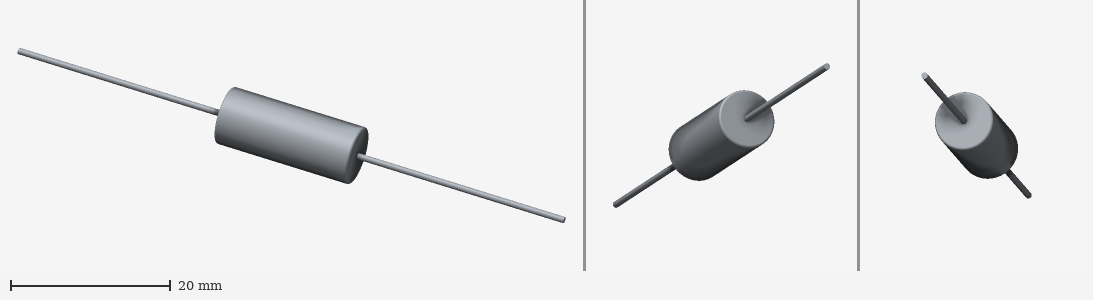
import cadquery as cq

overall_length = 74.0
body_length = 18.0
body_diameter = 7.5
edge_radius = 0.3
lead_diameter = 0.8


def centred_rod(diameter, length):
    """Cylinder along X, centred on the origin."""
    return cq.Workplane("YZ", origin=(-length / 2, 0, 0)).circle(diameter / 2).extrude(length)


body = centred_rod(body_diameter, body_length).edges("%CIRCLE").fillet(edge_radius)

leads = centred_rod(lead_diameter, overall_length)

result = body.union(leads)